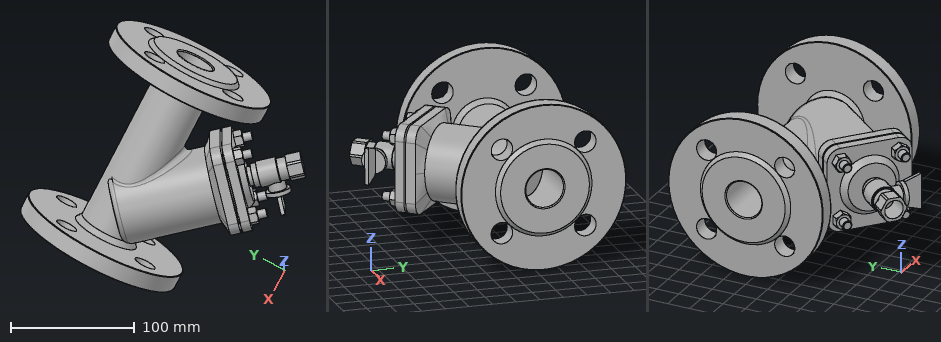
import cadquery as cq
import math

LENGTH = 180.0
PIPE_DIAMETER = 48.0
BORE_DIAMETER = 32.0
BORE_CHAMFER = 1.0

FLANGE_DIAMETER = 140.0
FLANGE_THICKNESS = 15.0
FLANGE_EDGE_CHAMFER = 0.5
RAISED_FACE_HEIGHT = 3.5
RAISED_FACE_RADIUS = 37.5
RAISED_FACE_BASE_RADIUS = 40.9
NECK_RADIUS = 27.5
NECK_LENGTH = 5.0
BOLT_HOLE_DIAMETER = 18.0
BOLT_CIRCLE_RADIUS = 50.0
BOLT_HOLE_COUNT = 4

BRANCH_ANGLE = math.radians(50)
BRANCH_CROSSING_X = 46.7
BRANCH_DIAMETER = 64.0
BRANCH_OVERRUN = 3.9
BRANCH_END_FILLET = 4.3
CROTCH_FILLET = 4.3
BLEND_PIPE_REACH = 46.5

PLATE_SIDE = 74.5
PLATE_CORNER_RADIUS = 11.6
BODY_PLATE_END = 92.0
BODY_PLATE_THICKNESS = 8.5
BODY_PLATE_TAPER = 5.8
JOINT_GAP = 1.5
COVER_THICKNESS = 8.0
COVER_START = BODY_PLATE_END + JOINT_GAP
COVER_END = COVER_START + COVER_THICKNESS
JOINT_FACE_DIAMETER = 64.0
BOSS_BASE_RADIUS = 26.0
BOSS_TOP_RADIUS = 21.1
BOSS_HEIGHT = 5.2

STUD_SPACING = PLATE_SIDE - 2 * PLATE_CORNER_RADIUS
STUD_DIAMETER = 8.0
STUD_TIP_DIAMETER = 6.5
STUD_END = 116.4
STUD_DEPTH = 9.7
NUT_HEIGHT = 7.0
NUT_ACROSS_CORNERS = 15.0
NUT_CHAMFER_DIAMETER = 12.8
NUT_CHAMFER_HEIGHT = 0.8

VALVE_NECK_DIAMETER = 16.0
VALVE_COLLAR_DIAMETER = 20.0
VALVE_BARREL_DIAMETER = 22.0
VALVE_TAIL_DIAMETER = 19.0
VALVE_COLLAR_START = 110.2
VALVE_BARREL_START = 115.0
VALVE_TAIL_START = 131.9
VALVE_HEX_START = 139.5
VALVE_END = 151.8
VALVE_BARREL_CHAMFER = 0.5
HEX_ACROSS_FLATS = 20.7
HEX_CORNER_DIAMETER = 22.9
OUTLET_DIAMETER = 16.0
OUTLET_DEPTH = 19.4

STEM_POSITION = 127.5
STEM_DIAMETER = 15.0
KNOB_DIAMETER = 21.0
KNOB_START = 15.7
KNOB_END = 19.4
BLADE_THICKNESS = 3.5
BLADE_END = 34.0
BLADE_ROOT_WIDTH = 22.5
BLADE_TIP_WIDTH = 32.5
BLADE_TIP_CHAMFER = 1.0


def branch_plane(distance):
    """Plane square to the branch; local X lies in the XY plane and local Y is up."""
    along = (-math.cos(BRANCH_ANGLE), -math.sin(BRANCH_ANGLE), 0)
    across = (math.sin(BRANCH_ANGLE), -math.cos(BRANCH_ANGLE), 0)
    crossing = cq.Plane(origin=(BRANCH_CROSSING_X, 0, 0), xDir=across, normal=along)
    return cq.Plane(origin=crossing.toWorldCoords((0, 0, distance)), xDir=across, normal=along)


INNER_FACE = cq.selectors.DirectionMinMaxSelector(branch_plane(0).zDir, False)
OUTER_FACE = cq.selectors.DirectionMinMaxSelector(branch_plane(0).zDir, True)
ALONG_BRANCH = cq.selectors.ParallelDirSelector(branch_plane(0).zDir)


def branch_rod(diameter, start, end):
    return cq.Workplane(branch_plane(start)).circle(diameter / 2).extrude(end - start)


def square_plate(start, end):
    plate = cq.Workplane(branch_plane(start)).rect(PLATE_SIDE, PLATE_SIDE).extrude(end - start)
    return plate.edges(ALONG_BRANCH).fillet(PLATE_CORNER_RADIUS)


def pipe_run():
    """Pipe with a neck, a flange and a raised face at both ends, turned about X."""
    face = LENGTH / 2
    flange_outer = face - RAISED_FACE_HEIGHT
    flange_inner = flange_outer - FLANGE_THICKNESS
    neck_end = flange_inner - NECK_LENGTH
    flange_radius = FLANGE_DIAMETER / 2
    rim = flange_radius - FLANGE_EDGE_CHAMFER
    half = [
        (neck_end, PIPE_DIAMETER / 2),
        (flange_inner, NECK_RADIUS),
        (flange_inner, rim),
        (flange_inner + FLANGE_EDGE_CHAMFER, flange_radius),
        (flange_outer - FLANGE_EDGE_CHAMFER, flange_radius),
        (flange_outer, rim),
        (flange_outer, RAISED_FACE_BASE_RADIUS),
        (face, RAISED_FACE_RADIUS),
        (face, 0),
    ]
    mirrored = [(-x, radius) for x, radius in reversed(half)]
    return cq.Workplane("XY").polyline(mirrored + half).close().revolve(360, (0, 0), (1, 0))


def bolt_holes():
    return (
        cq.Workplane("YZ", origin=(-LENGTH / 2, 0, 0))
        .polarArray(BOLT_CIRCLE_RADIUS, 180 / BOLT_HOLE_COUNT, 360, BOLT_HOLE_COUNT)
        .circle(BOLT_HOLE_DIAMETER / 2)
        .extrude(RAISED_FACE_HEIGHT + FLANGE_THICKNESS)
    )


def stud_holes(start, end):
    return (
        cq.Workplane(branch_plane(start))
        .rect(STUD_SPACING, STUD_SPACING, forConstruction=True)
        .vertices()
        .circle(STUD_DIAMETER / 2)
        .extrude(end - start)
    )


def branch():
    """Solid branch with a rounded closed end."""
    tube = branch_rod(BRANCH_DIAMETER, -BRANCH_OVERRUN, BODY_PLATE_END)
    return tube.faces(INNER_FACE).edges().fillet(BRANCH_END_FILLET)


def crotch_blend():
    """Stretch of pipe and branch around the fillet where they meet, beside the rounded end."""
    pipe_length = BRANCH_CROSSING_X + BLEND_PIPE_REACH
    pipe = (
        cq.Workplane("YZ", origin=(-BLEND_PIPE_REACH, 0, 0))
        .circle(PIPE_DIAMETER / 2)
        .extrude(pipe_length)
    )
    joined = pipe.union(branch_rod(BRANCH_DIAMETER, -BODY_PLATE_END, BODY_PLATE_END))
    joined = joined.edges("not(%CIRCLE or %LINE)").fillet(CROTCH_FILLET)
    straight_start = BRANCH_END_FILLET - BRANCH_OVERRUN
    beside_straight = branch_rod(2 * LENGTH, straight_start, BODY_PLATE_END)
    return joined.intersect(beside_straight)


def body_plate():
    """Square plate with a taper from the branch to the plate."""
    plate_start = BODY_PLATE_END - BODY_PLATE_THICKNESS
    plate = square_plate(plate_start, BODY_PLATE_END)
    square = plate.faces(INNER_FACE).wires().val()
    taper_plane = branch_plane(plate_start - BODY_PLATE_TAPER)
    ring = cq.Workplane(taper_plane).circle(BRANCH_DIAMETER / 2).wires().val()
    taper = cq.Solid.makeLoft([ring, square])
    return plate.union(cq.Workplane(taper))


def bores():
    """Bores from both ends, chamfered at the mouth, that stop at the solid branch."""
    bore = cq.Workplane("YZ", origin=(-LENGTH / 2, 0, 0)).circle(BORE_DIAMETER / 2).extrude(LENGTH)
    bore = bore.cut(branch_rod(BRANCH_DIAMETER, -BRANCH_OVERRUN, BODY_PLATE_END))
    mouth_radius = BORE_DIAMETER / 2 + BORE_CHAMFER
    mouth = (
        cq.Workplane("YZ", origin=(-LENGTH / 2, 0, 0)).circle(mouth_radius)
        .workplane(offset=BORE_CHAMFER).circle(BORE_DIAMETER / 2).loft()
    )
    return bore.union(mouth).union(mouth.mirror("YZ"))


def make_housing():
    housing = pipe_run().union(branch()).union(crotch_blend()).union(body_plate())
    holes = bolt_holes()
    housing = housing.cut(bores()).cut(holes).cut(holes.mirror("YZ"))
    return housing.cut(stud_holes(BODY_PLATE_END - STUD_DEPTH, BODY_PLATE_END))


def make_cover():
    cover = square_plate(COVER_START, COVER_END)
    cover = cover.union(branch_rod(JOINT_FACE_DIAMETER, BODY_PLATE_END, COVER_START))
    cover = cover.cut(stud_holes(BODY_PLATE_END, COVER_END))
    boss = (
        cq.Workplane(branch_plane(COVER_END)).circle(BOSS_BASE_RADIUS)
        .workplane(offset=BOSS_HEIGHT).circle(BOSS_TOP_RADIUS).loft()
    )
    return cover.union(boss).union(drain_valve())


def drain_valve():
    valve = branch_rod(VALVE_NECK_DIAMETER, COVER_END, VALVE_COLLAR_START)
    valve = valve.union(branch_rod(VALVE_COLLAR_DIAMETER, VALVE_COLLAR_START, VALVE_BARREL_START))
    barrel = branch_rod(VALVE_BARREL_DIAMETER, VALVE_BARREL_START, VALVE_TAIL_START)
    valve = valve.union(barrel.faces(OUTER_FACE).chamfer(VALVE_BARREL_CHAMFER))
    valve = valve.union(branch_rod(VALVE_TAIL_DIAMETER, VALVE_TAIL_START, VALVE_HEX_START))
    hexagon = (
        cq.Workplane(branch_plane(VALVE_HEX_START))
        .polygon(6, HEX_ACROSS_FLATS / math.cos(math.pi / 6))
        .extrude(VALVE_END - VALVE_HEX_START)
        .intersect(branch_rod(HEX_CORNER_DIAMETER, VALVE_HEX_START, VALVE_END))
    )
    valve = valve.union(hexagon).union(handle())
    return valve.cut(branch_rod(OUTLET_DIAMETER, VALVE_END - OUTLET_DEPTH, VALVE_END))


def handle():
    valve_plane = branch_plane(STEM_POSITION)
    stem_plane = cq.Plane(origin=valve_plane.origin, xDir=(0, 0, 1), normal=valve_plane.xDir)
    knob_plane = cq.Plane(
        origin=valve_plane.toWorldCoords((KNOB_START, 0, 0)), xDir=(0, 0, 1), normal=valve_plane.xDir
    )
    stem = cq.Workplane(stem_plane).circle(STEM_DIAMETER / 2).extrude(KNOB_START)
    knob = cq.Workplane(knob_plane).circle(KNOB_DIAMETER / 2).extrude(KNOB_END - KNOB_START)
    blade = (
        cq.Workplane(valve_plane)
        .polyline([
            (KNOB_END, -BLADE_ROOT_WIDTH / 2),
            (BLADE_END, -BLADE_TIP_WIDTH / 2),
            (BLADE_END, BLADE_TIP_WIDTH / 2),
            (KNOB_END, BLADE_ROOT_WIDTH / 2),
        ])
        .close()
        .extrude(BLADE_THICKNESS / 2, both=True)
    )
    tip = blade.faces(cq.selectors.DirectionMinMaxSelector(valve_plane.xDir, True))
    blade = tip.edges(ALONG_BRANCH).chamfer(BLADE_TIP_CHAMFER)
    return stem.union(knob).union(blade)


def make_stud(across, height, nut_angle):
    """Stud with its nut, at a place on the bonnet joint."""
    def centred(start):
        return cq.Workplane(branch_plane(start)).center(across, height)

    stud_start = BODY_PLATE_END - STUD_DEPTH
    tip_chamfer = (STUD_DIAMETER - STUD_TIP_DIAMETER) / 2
    stud = centred(stud_start).circle(STUD_DIAMETER / 2).extrude(STUD_END - stud_start)
    stud = stud.faces(OUTER_FACE).chamfer(tip_chamfer)
    nut = (
        centred(COVER_END)
        .transformed(rotate=(0, 0, nut_angle))
        .polygon(6, NUT_ACROSS_CORNERS)
        .extrude(NUT_HEIGHT)
    )
    envelope = centred(COVER_END).circle(NUT_ACROSS_CORNERS / 2).extrude(NUT_HEIGHT)
    corner_width = (NUT_ACROSS_CORNERS - NUT_CHAMFER_DIAMETER) / 2
    envelope = envelope.faces(OUTER_FACE).chamfer(NUT_CHAMFER_HEIGHT, corner_width)
    return stud.union(nut.intersect(envelope))


housing = make_housing()
cover = make_cover()
studs = []
for side_across in (-1, 1):
    for side_up in (-1, 1):
        nut_angle = 90 if side_across == side_up else 0
        studs.append(make_stud(side_across * STUD_SPACING / 2, side_up * STUD_SPACING / 2, nut_angle))

result = cq.Compound.makeCompound([housing.val(), cover.val(), *[stud.val() for stud in studs]])